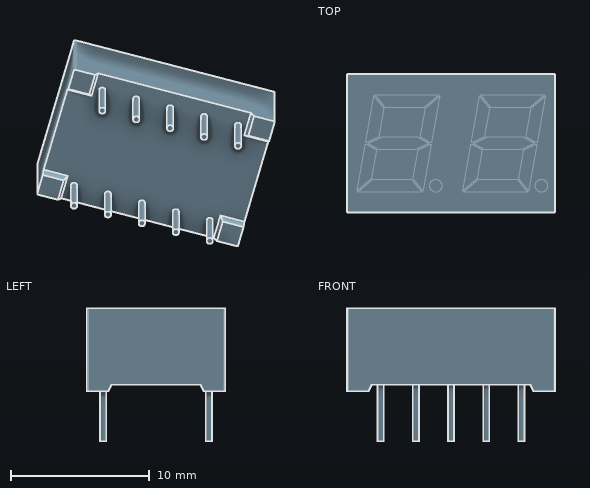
import cadquery as cq
import math


body_length = 15.02
body_width = 10.0
body_height = 6.01
corner_radius = 0.1
foot_height = 0.48
foot_length = 1.56
foot_taper = 0.24

total_height = 9.6
pin_diameter = 0.47
pin_pitch = 2.54
pins_per_row = 5
row_spacing = 3 * pin_pitch
pin_embed = 0.3

digit_pitch = 3 * pin_pitch
digit_height = 7.0
digit_width = 4.78
digit_slant = math.tan(math.radians(10))
segment_width = 0.9
segment_gap = 0.1
waist_inset = 0.08
dot_diameter = segment_width
dot_offset = 2.69
inlay_depth = 0.15


def channel(plane, span, reach):
    """Tapered channel, as long as reach, that leaves a foot at each end of span."""
    half_floor = span / 2 - foot_length
    half_roof = half_floor - foot_taper
    outline = [(-half_floor, 0), (half_floor, 0), (half_roof, foot_height), (-half_roof, foot_height)]
    return (
        cq.Workplane(plane, origin=(0, 0, -body_height))
        .polyline(outline)
        .close()
        .extrude(reach / 2, both=True)
    )


def make_body():
    block = (
        cq.Workplane("XY")
        .rect(body_length, body_width)
        .extrude(-body_height)
        .edges("|Z")
        .fillet(corner_radius)
    )
    block = block.cut(channel("XZ", body_length, body_width))
    return block.cut(channel("YZ", body_width, body_length))


def make_pins():
    """Two rows of round pins, each starting inside the body."""
    pin_top = foot_height - body_height + pin_embed
    return (
        cq.Workplane("XY", origin=(0, 0, pin_top))
        .rarray(pin_pitch, row_spacing, pins_per_row, 2)
        .circle(pin_diameter / 2)
        .extrude(-(total_height + pin_top))
    )


def slanted(x, y):
    """Lean an upright digit point to the right in proportion to its height."""
    return (x + y * digit_slant, y)


def inlay(points):
    """Prism under the top face, from an upright outline that is then slanted."""
    corners = [slanted(x, y) for x, y in points]
    return cq.Workplane("XY").polyline(corners).close().extrude(-inlay_depth)


def inlay_box(x_min, x_max, y_min, y_max):
    return inlay([(x_min, y_min), (x_max, y_min), (x_max, y_max), (x_min, y_max)])


def gap_strip(start, end):
    """Narrow strip along the joint between two neighbouring segments."""
    x0, y0 = slanted(*start)
    x1, y1 = slanted(*end)
    length = math.hypot(x1 - x0, y1 - y0)
    angle = math.degrees(math.atan2(y1 - y0, x1 - x0))
    return (
        cq.Workplane("XY")
        .rect(length + 2 * segment_gap, segment_gap)
        .extrude(-inlay_depth)
        .rotate((0, 0, 0), (0, 0, 1), angle)
        .translate(((x0 + x1) / 2, (y0 + y1) / 2, 0))
    )


def make_digit():
    """Seven segments: a slanted figure 8 divided along its joints, and a round dot."""
    outer_x = digit_width / 2
    outer_y = digit_height / 2
    inner_x = outer_x - segment_width
    inner_y = outer_y - segment_width
    bar_y = segment_width / 2

    digit = inlay_box(-outer_x, outer_x, -outer_y, outer_y)
    digit = digit.cut(inlay_box(-inner_x, inner_x, bar_y, inner_y))
    digit = digit.cut(inlay_box(-inner_x, inner_x, -inner_y, -bar_y))
    for side in (-1, 1):
        waist = (side * (outer_x - waist_inset), 0)
        for end in (-1, 1):
            outer_corner = (side * outer_x, end * outer_y)
            inner_corner = (side * inner_x, end * inner_y)
            bar_corner = (side * (inner_x - waist_inset), end * bar_y)
            digit = digit.cut(gap_strip(outer_corner, inner_corner))
            digit = digit.cut(gap_strip(waist, bar_corner))

    dot = (
        cq.Workplane("XY", origin=(dot_offset, (dot_diameter - digit_height) / 2, 0))
        .circle(dot_diameter / 2)
        .extrude(-inlay_depth)
    )
    return digit.union(dot)


display = make_body().union(make_pins())
for digit_x in (-digit_pitch / 2, digit_pitch / 2):
    display = display.union(make_digit().translate((digit_x, 0, 0)), clean=False)

result = cq.Workplane(display.solids().val())